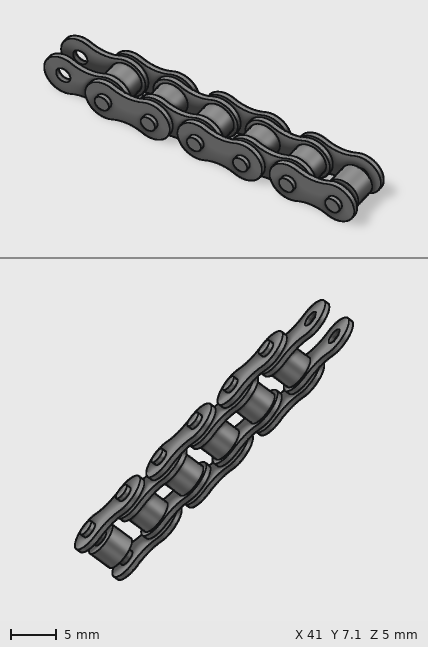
import cadquery as cq
import math


chain_length = 41.0
section_count = 3
pitches_per_section = 2

plate_end_radius = 2.5
plate_waist_radius = 2 * plate_end_radius
plate_thickness = 0.6
plate_gap = 0.35

pin_diameter = 1.85
pin_length = 7.1
roller_diameter = 4.0
roller_width = 2.8

pitch = (chain_length - 2 * plate_end_radius) / (section_count * pitches_per_section)
section_length = pitches_per_section * pitch
first_hole_x = plate_end_radius - chain_length / 2
inner_plate_y = (roller_width + plate_thickness) / 2
outer_plate_y = inner_plate_y + plate_thickness + plate_gap


def xz_workplane(x, y):
    """Workplane at (x, y) with local axes along X and Z, extruding towards -Y."""
    return cq.Workplane("XZ", origin=(x, y, 0))


def cylinder_along_y(x, y, diameter, width):
    """Cylinder centred at (x, y) with its axis along Y."""
    return xz_workplane(x, y + width / 2).circle(diameter / 2).extrude(width)


def link_plate(x, y):
    """Waisted plate spanning one pitch in +X from its first eye at x, centred on y."""
    tangent_angle = math.asin(pitch / 2 / (plate_end_radius + plate_waist_radius))
    tangent_x = plate_end_radius * math.sin(tangent_angle)
    tangent_z = plate_end_radius * math.cos(tangent_angle)
    waist_centre_z = (plate_end_radius + plate_waist_radius) * math.cos(tangent_angle)
    waist_z = waist_centre_z - plate_waist_radius

    return (
        xz_workplane(x, y + plate_thickness / 2)
        .moveTo(tangent_x, tangent_z)
        .threePointArc((pitch / 2, waist_z), (pitch - tangent_x, tangent_z))
        .threePointArc((pitch + plate_end_radius, 0), (pitch - tangent_x, -tangent_z))
        .threePointArc((pitch / 2, -waist_z), (tangent_x, -tangent_z))
        .threePointArc((-plate_end_radius, 0), (tangent_x, tangent_z))
        .close()
        .extrude(plate_thickness)
    )


def pin_with_roller(x):
    """Pin through the full chain width with a roller at its middle."""
    pin = cylinder_along_y(x, 0, pin_diameter, pin_length)
    roller = cylinder_along_y(x, 0, roller_diameter, roller_width)
    return pin.union(roller)


def chain_section(open_hole_x):
    """One body that starts with the open inner-link eyes at open_hole_x."""
    first_pin_x = open_hole_x + pitch
    second_pin_x = first_pin_x + pitch

    section = pin_with_roller(first_pin_x).union(pin_with_roller(second_pin_x))
    for side in (-1, 1):
        section = section.union(link_plate(open_hole_x, side * inner_plate_y))
        section = section.union(link_plate(first_pin_x, side * outer_plate_y))

    open_hole = cylinder_along_y(open_hole_x, 0, pin_diameter, pin_length)
    return section.cut(open_hole)


chain_sections = [
    chain_section(first_hole_x + index * section_length)
    for index in range(section_count)
]

result = cq.Compound.makeCompound([section.solids().val() for section in chain_sections])